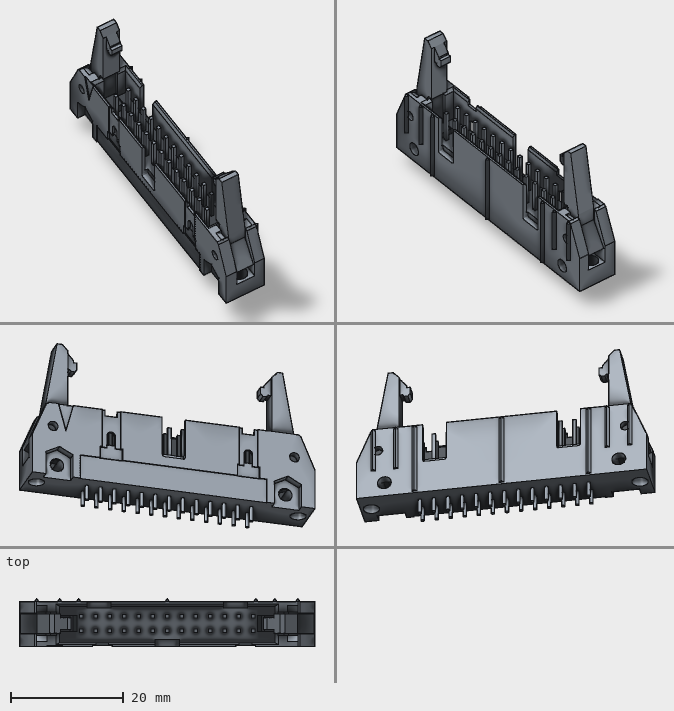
import cadquery as cq

length = 52.3
depth = 7.95
height = 14.0
front_y = -depth / 2
back_y = depth / 2
half_length = length / 2

shoulder_z = 7.5
shoulder_run = 2.6
rim_chamfer_x = 0.4
rim_chamfer_z = 0.3

cavity_half_length = 19.05
cavity_front_y = -3.3
cavity_back_y = 3.15
cavity_floor_z = 7.4
mouth_half_length = 19.65
mouth_half_depth = 3.6
mouth_flare_z = 0.45

pitch = 2.54
columns = 13
contact_size = 0.65
contact_top_z = 13.35
tail_bottom_z = -2.7
contact_mid_y = 0.1

notch_width = 4.3
key_notch_depth = 1.25
back_notch_depth = 1.1
notch_floor_z = 6.35
notch_radius = 0.45
back_notch_x = 12.1

base_half_length = 17.25
base_top_z = 4.55
base_recess = 0.2
clip_recess = 0.4
clip_positions = (-11.5, 13.85)
clip_width = 3.45
clip_foot_width = 4.15
clip_foot_z = 6.75
window_width = 1.55
window_top_z = 9.9
window_bottom_z = cavity_floor_z
top_notch_width = 2.25
top_notch_z = 12.9

mark_x = -19.95
mark_width = 2.7
mark_tip_z = 8.95
mark_depth = 0.2

mount_x = 21.15
mount_z = 2.7
mount_diameter = 2.45
nut_width = 5.0
nut_side_z = 4.35
nut_tip_z = 5.65
nut_depth = 1.55

rib_width = 0.85
rib_height = 0.6
rib_top_z = 13.7
long_rib_bottom_z = 0.3
short_rib_bottom_z = 5.4
long_ribs_x = (-15.7, 0.0, 15.7)
short_ribs_x = (-23.1, -19.05, 19.05, 23.1)

latch_width = 3.45
latch_slot_width = 3.7
latch_slot_floor_z = 3.85
latch_slot_end_x = 19.6
latch_bay_width = 4.2
floor_hole_x = 24.2
floor_hole_diameter = 2.9
pocket_width = 2.8
pocket_end_x = 15.95
pocket_end_slope = 0.75
pivot_x = 22.35
pivot_z = 9.5
pivot_diameter = 1.8
pivot_span = 5.25
ramp_outer_x = 23.1
ramp_inner_x = 21.3
ramp_width_top = 6.4
ramp_depth = 0.65

latch_top_z = 26.9
latch_tip_outer_x = 20.9
latch_tip_inner_x = 19.95
latch_inner_x = 18.9
latch_bevel_z = 25.8
latch_step_z = 14.35
latch_stem_x = 20.05
latch_step_bevel = 0.25
latch_heel_x = 23.05
latch_heel_z = 11.6
latch_thumb_x = 25.95
latch_thumb_z = 6.9
latch_arch_x = 23.8
latch_arch_z = 5.75
latch_arch_mid_x = 21.45
latch_arch_mid_z = 5.15
toe_width = 2.7
toe_end_x = 17.25
toe_top_z = 7.1
toe_bottom_z = 4.9

catch_shoulder_x = 17.65
catch_shoulder_top_z = 24.3
catch_nose_x = 17.0
catch_nose_top_z = 23.9
catch_nose_bottom_z = 22.6
catch_barb_z = 22.15
catch_barb_inner_x = 17.4
catch_barb_outer_x = 18.1
catch_root_x = 18.35
catch_root_z = 22.5
catch_width = 2.15


def block(x0, x1, y0, y1, z0, z1):
    """Box between two opposite corners."""
    size = (x1 - x0, y1 - y0, z1 - z0)
    return cq.Workplane("XY").box(*size, centered=False).translate((x0, y0, z0))


def slab(points, y0, y1):
    """Prism of an XZ outline between two Y planes."""
    return cq.Workplane("XZ").polyline(points).close().extrude(y0 - y1).translate((0, y0, 0))


def cylinder_y(x, z, diameter, y0, y1):
    """Cylinder along Y between two Y planes."""
    return cq.Workplane("XZ").center(x, z).circle(diameter / 2).extrude(y0 - y1).translate((0, y0, 0))


def with_mirror(solid):
    """A left-hand feature together with its right-hand twin."""
    return solid.union(solid.mirror("YZ"))


def housing_blank():
    slope_top_x = half_length - shoulder_run
    left = [
        (-half_length, 0),
        (-half_length, shoulder_z),
        (-slope_top_x, height - rim_chamfer_z),
        (-slope_top_x + rim_chamfer_x, height),
    ]
    right = [(-x, z) for x, z in reversed(left)]
    return slab(left + right, front_y, back_y)


def cavity():
    well_depth = cavity_back_y - cavity_front_y
    well_mid_y = (cavity_back_y + cavity_front_y) / 2
    well = block(-cavity_half_length, cavity_half_length, cavity_front_y, cavity_back_y,
                 cavity_floor_z, height)
    mouth = (
        cq.Workplane("XY", origin=(0, 0, height))
        .rect(2 * mouth_half_length, 2 * mouth_half_depth)
        .workplane(offset=-mouth_flare_z)
        .center(0, well_mid_y)
        .rect(2 * cavity_half_length, well_depth)
        .loft()
    )
    return well.union(mouth)


def key_notch(x, y0, y1):
    """Open-topped notch through a long wall, rounded at its lower corners."""
    notch = block(x - notch_width / 2, x + notch_width / 2, y0, y1, notch_floor_z, height)
    return notch.edges("|Y and <Z").fillet(notch_radius)


def strain_clip_recess(x):
    """Stepped recess with a window and a top notch for a strain-relief clip."""
    recess_y = front_y + clip_recess
    radius = window_width / 2
    channel = block(x - clip_width / 2, x + clip_width / 2, front_y, front_y + base_recess,
                    clip_foot_z, height)
    foot = block(x - clip_foot_width / 2, x + clip_foot_width / 2, front_y, recess_y,
                 base_top_z, clip_foot_z)
    tongue = block(x - radius, x + radius, front_y, recess_y, clip_foot_z, window_bottom_z)
    window = block(x - radius, x + radius, front_y, cavity_front_y, window_bottom_z, window_top_z - radius)
    arch = cylinder_y(x, window_top_z - radius, window_width, front_y, cavity_front_y)
    top_notch = block(x - top_notch_width / 2, x + top_notch_width / 2, front_y, cavity_front_y,
                      top_notch_z, height)
    return channel.union(foot).union(tongue).union(window).union(arch).union(top_notch)


def nut_trap():
    half = nut_width / 2
    outline = [
        (-mount_x - half, 0),
        (-mount_x - half, nut_side_z),
        (-mount_x, nut_tip_z),
        (-mount_x + half, nut_side_z),
        (-mount_x + half, 0),
    ]
    trap = slab(outline, front_y, front_y + nut_depth)
    return trap.union(cylinder_y(-mount_x, mount_z, mount_diameter, front_y, back_y))


def latch_slot():
    """Left slot for the latch, with the ejector pocket, floor hole, pivot bores and lead-in ramps."""
    slot_y0 = contact_mid_y - latch_slot_width / 2
    slot_y1 = contact_mid_y + latch_slot_width / 2
    bay_y0 = contact_mid_y - latch_bay_width / 2
    bay_y1 = contact_mid_y + latch_bay_width / 2
    slot = block(-half_length, -latch_slot_end_x, slot_y0, slot_y1, latch_slot_floor_z, height)
    bay = block(-ramp_outer_x, -latch_slot_end_x, bay_y0, bay_y1, latch_slot_floor_z, height)
    pocket_outline = [
        (-latch_slot_end_x, latch_slot_floor_z),
        (-pocket_end_x - pocket_end_slope, latch_slot_floor_z),
        (-pocket_end_x, cavity_floor_z),
        (-cavity_half_length, cavity_floor_z),
        (-cavity_half_length, height),
        (-latch_slot_end_x, height),
    ]
    pocket = slab(pocket_outline, contact_mid_y - pocket_width / 2, contact_mid_y + pocket_width / 2)
    floor_hole = (
        cq.Workplane("XY")
        .center(-floor_hole_x, 0)
        .circle(floor_hole_diameter / 2)
        .extrude(latch_slot_floor_z)
    )
    bores = cylinder_y(-pivot_x, pivot_z, pivot_diameter, front_y, back_y)
    ramp_profile = [
        (contact_mid_y - ramp_width_top / 2, height),
        (contact_mid_y + ramp_width_top / 2, height),
        (bay_y1, height - ramp_depth),
        (bay_y0, height - ramp_depth),
    ]
    ramps = (
        cq.Workplane("YZ", origin=(-ramp_outer_x, 0, 0))
        .polyline(ramp_profile).close()
        .extrude(ramp_outer_x - ramp_inner_x)
    )
    return slot.union(bay).union(pocket).union(floor_hole).union(bores).union(ramps)


def crush_rib(x, bottom_z):
    return (
        cq.Workplane("XY", origin=(x, back_y, bottom_z))
        .polyline([(-rib_width / 2, 0), (rib_width / 2, 0), (0, rib_height)]).close()
        .extrude(rib_top_z - bottom_z)
    )


def latch():
    """Left latch: lever, cable catch, ejector toe and the pivots that hold it in the housing."""
    y0 = contact_mid_y - latch_width / 2
    y1 = contact_mid_y + latch_width / 2
    lever = (
        cq.Workplane("XZ", origin=(0, y0, 0))
        .moveTo(-latch_tip_outer_x, latch_top_z)
        .lineTo(-latch_tip_inner_x, latch_top_z)
        .lineTo(-latch_inner_x, latch_bevel_z)
        .lineTo(-latch_inner_x, latch_step_z)
        .lineTo(-latch_stem_x + latch_step_bevel, latch_step_z)
        .lineTo(-latch_stem_x, latch_step_z - latch_step_bevel)
        .lineTo(-latch_stem_x, toe_top_z)
        .lineTo(-latch_slot_end_x, toe_top_z)
        .lineTo(-latch_slot_end_x, toe_bottom_z)
        .threePointArc((-latch_arch_mid_x, latch_arch_mid_z), (-latch_arch_x, latch_arch_z))
        .lineTo(-latch_thumb_x, latch_thumb_z)
        .lineTo(-latch_heel_x, latch_heel_z)
        .lineTo(-latch_heel_x, latch_step_z)
        .close()
        .extrude(y0 - y1)
    )
    toe = block(-latch_slot_end_x, -toe_end_x, contact_mid_y - toe_width / 2,
                contact_mid_y + toe_width / 2, toe_bottom_z, toe_top_z)
    catch_outline = [
        (-latch_inner_x, latch_bevel_z),
        (-catch_shoulder_x, catch_shoulder_top_z),
        (-catch_shoulder_x, catch_nose_top_z),
        (-catch_nose_x, catch_nose_top_z),
        (-catch_nose_x, catch_nose_bottom_z),
        (-catch_barb_inner_x, catch_barb_z),
        (-catch_barb_outer_x, catch_barb_z),
        (-catch_root_x, catch_root_z),
        (-latch_inner_x, catch_root_z),
    ]
    catch = slab(catch_outline, contact_mid_y - catch_width / 2, contact_mid_y + catch_width / 2)
    pivots = cylinder_y(-pivot_x, pivot_z, pivot_diameter,
                        contact_mid_y - pivot_span / 2, contact_mid_y + pivot_span / 2)
    return lever.union(toe).union(catch).union(pivots)


def contact(x, y):
    """Square post in the cavity with a round solder tail under the housing."""
    half = contact_size / 2
    post = block(x - half, x + half, y - half, y + half, 0, contact_top_z)
    tail = cq.Workplane("XY").center(x, y).circle(half).extrude(tail_bottom_z)
    return post.union(tail)


housing = housing_blank().cut(cavity())
housing = housing.cut(key_notch(0, front_y, front_y + key_notch_depth))
housing = housing.cut(with_mirror(key_notch(-back_notch_x, back_y - back_notch_depth, back_y)))
housing = housing.cut(block(-base_half_length, base_half_length, front_y, front_y + base_recess,
                            0, base_top_z))
for clip_x in clip_positions:
    housing = housing.cut(strain_clip_recess(clip_x))
mark_outline = [
    (mark_x - mark_width / 2, height),
    (mark_x + mark_width / 2, height),
    (mark_x, mark_tip_z),
]
housing = housing.cut(slab(mark_outline, front_y, front_y + mark_depth))
housing = housing.cut(with_mirror(nut_trap()))
housing = housing.cut(with_mirror(latch_slot()))

for rib_x in long_ribs_x:
    housing = housing.union(crush_rib(rib_x, long_rib_bottom_z))
for rib_x in short_ribs_x:
    housing = housing.union(crush_rib(rib_x, short_rib_bottom_z))

result = housing.union(with_mirror(latch()))
for column in range(columns):
    for side in (-1, 1):
        contact_x = (column - (columns - 1) / 2) * pitch
        result = result.union(contact(contact_x, contact_mid_y + side * pitch / 2))